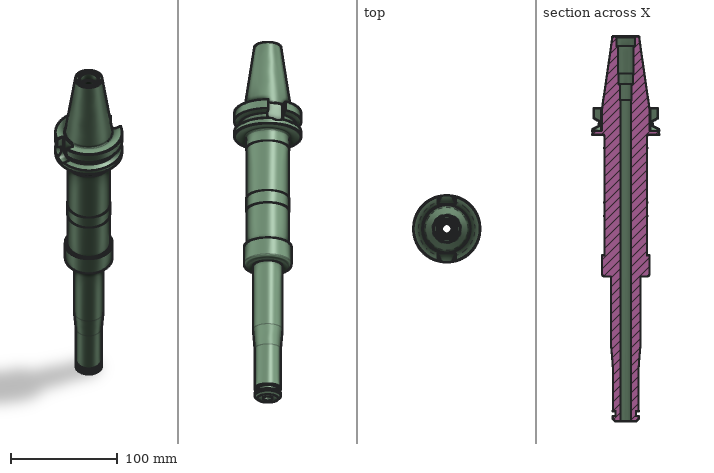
import cadquery as cq
import math

total_length = 360.9

gauge_diameter = 44.45
taper_rate = 7 / 24
taper_length = 65.4
taper_chamfer = 0.7
taper_root_fillet = 0.8

flange_diameter = 63.0
flange_top_z = -2.0
flange_bottom_z = -27.0
flange_chamfer = 0.5
groove_floor_diameter = 53.0
groove_centre_z = -16.5
groove_floor_width = 4.6
groove_flank_angle = 30.0
groove_depth = (flange_diameter - groove_floor_diameter) / 2
groove_flank_height = groove_depth * math.tan(math.radians(groove_flank_angle))
groove_floor_top_z = groove_centre_z + groove_floor_width / 2
groove_floor_bottom_z = groove_centre_z - groove_floor_width / 2
groove_top_z = groove_floor_top_z + groove_flank_height
groove_bottom_z = groove_floor_bottom_z - groove_flank_height

slot_width = 16.1
slot_floor_distance = 22.5
slot_bottom_z = -23.2
slot_floor_bevel = 0.8
slot_mouth_chamfer = 0.55

body_diameter = 40.0
band_diameter = 40.5
body_root_fillet = 1.5
upper_band_bottom_z = -39.5
lower_band_top_z = -90.5
lower_band_bottom_z = -103.2

collar_diameter = 45.0
collar_top_z = -139.8
collar_bottom_z = -160.0
collar_chamfer = 0.5
collar_fillet = 3.0

arbor_diameter = 28.0
cone_top_z = -225.0
cone_bottom_z = -245.0
pilot_diameter = 24.7
pilot_bottom_z = -286.05
pilot_chamfer = 0.45
neck_diameter = 19.5
disc_top_z = -290.4
disc_bottom_z = -293.3
disc_chamfer = 0.35
end_diameter = 19.5
end_z = taper_length - total_length

mouth_diameter = 17.0
mouth_chamfer = 1.25
mouth_depth = 9.3
bore_steps = [(13.84, 35.0), (13.0, 45.0), (10.0, 60.0)]
through_diameter = 9.0


def revolve_outline(outline):
    """Close an outline that starts and ends on the Z axis and turn it about Z."""
    return outline.close().revolve(360, (0, 0, 0), (0, 1, 0))


def stepped_solid(stations):
    """Solid of revolution from (diameter, z) stations listed along its outside."""
    points = [(diameter / 2, z) for diameter, z in stations]
    outline = [(0, stations[0][1])] + points + [(0, stations[-1][1])]
    return revolve_outline(cq.Workplane("XZ").polyline(outline))


def root_fillet(diameter, face_z, size, side):
    """Concave fillet ring between a cylinder and a face; side is +1 above the face, -1 below."""
    radius = diameter / 2
    inset = size * (1 - math.sqrt(0.5))
    outline = (
        cq.Workplane("XZ")
        .moveTo(0, face_z)
        .lineTo(radius + size, face_z)
        .threePointArc(
            (radius + inset, face_z + side * inset),
            (radius, face_z + side * size),
        )
        .lineTo(0, face_z + side * size)
    )
    return revolve_outline(outline)


def taper():
    top_diameter = gauge_diameter - taper_rate * taper_length
    shoulder_diameter = top_diameter + taper_rate * taper_chamfer
    shank = stepped_solid([
        (top_diameter - 2 * taper_chamfer, taper_length),
        (shoulder_diameter, taper_length - taper_chamfer),
        (gauge_diameter, 0),
        (gauge_diameter, flange_top_z),
    ])
    return shank.union(root_fillet(gauge_diameter, flange_top_z, taper_root_fillet, 1))


def flange():
    return stepped_solid([
        (flange_diameter - 2 * flange_chamfer, flange_top_z),
        (flange_diameter, flange_top_z - flange_chamfer),
        (flange_diameter, groove_top_z),
        (groove_floor_diameter, groove_floor_top_z),
        (groove_floor_diameter, groove_floor_bottom_z),
        (flange_diameter, groove_bottom_z),
        (flange_diameter, flange_bottom_z + flange_chamfer),
        (flange_diameter - 2 * flange_chamfer, flange_bottom_z),
    ])


def cut_drive_slot(blank, side):
    """Cut the round-bottomed slot on the +Y (side = 1) or -Y (side = -1) side."""
    radius = slot_width / 2
    arc_z = slot_bottom_z + radius
    cutter = (
        cq.Workplane("XZ", origin=(0, slot_floor_distance, 0))
        .moveTo(-radius, 0)
        .lineTo(radius, 0)
        .lineTo(radius, arc_z)
        .threePointArc((0, slot_bottom_z), (-radius, arc_z))
        .close()
        .extrude(slot_floor_distance - flange_diameter / 2)
        .faces("<Y")
        .edges("not >Z")
        .chamfer(slot_floor_bevel)
    )
    if side < 0:
        cutter = cutter.mirror("XZ")
    return blank.cut(cutter)


def chamfer_slot_mouth(blank, side, hand):
    """Chamfer the top and outer edges of one slot wall, above the groove."""
    wall_x = hand * slot_width / 2
    margin = 0.01
    mouth_edges = cq.selectors.BoxSelector(
        (wall_x - margin, side * (slot_floor_distance + slot_floor_bevel + margin), groove_top_z),
        (wall_x + margin, side * flange_diameter / 2, flange_top_z + margin),
    )
    return blank.edges(mouth_edges).chamfer(slot_mouth_chamfer)


def flange_with_slots():
    blank = flange()
    for side in (-1, 1):
        blank = cut_drive_slot(blank, side)
        for hand in (-1, 1):
            blank = chamfer_slot_mouth(blank, side, hand)
    return blank


def body():
    step = (band_diameter - body_diameter) / 2
    shaft = stepped_solid([
        (band_diameter, flange_bottom_z),
        (band_diameter, upper_band_bottom_z),
        (body_diameter, upper_band_bottom_z),
        (body_diameter, lower_band_top_z),
        (band_diameter, lower_band_top_z),
        (band_diameter, lower_band_bottom_z + step),
        (body_diameter, lower_band_bottom_z),
        (body_diameter, collar_top_z),
    ])
    return shaft.union(root_fillet(band_diameter, flange_bottom_z, body_root_fillet, -1))


def collar():
    blank = stepped_solid([(collar_diameter, collar_top_z), (collar_diameter, collar_bottom_z)])
    return blank.faces(">Z").chamfer(collar_chamfer).faces("<Z").edges().fillet(collar_fillet)


def arbor():
    return stepped_solid([
        (arbor_diameter, collar_bottom_z),
        (arbor_diameter, cone_top_z),
        (pilot_diameter, cone_bottom_z),
        (pilot_diameter, pilot_bottom_z + pilot_chamfer),
        (pilot_diameter - 2 * pilot_chamfer, pilot_bottom_z),
        (neck_diameter, pilot_bottom_z),
        (neck_diameter, disc_top_z),
        (pilot_diameter - 2 * disc_chamfer, disc_top_z),
        (pilot_diameter, disc_top_z - disc_chamfer),
        (pilot_diameter, disc_bottom_z + disc_chamfer),
        (pilot_diameter - 2 * disc_chamfer, disc_bottom_z),
        (end_diameter, end_z),
    ])


def bore():
    stations = [
        (mouth_diameter + 2 * mouth_chamfer, taper_length),
        (mouth_diameter, taper_length - mouth_chamfer),
        (mouth_diameter, taper_length - mouth_depth),
    ]
    for diameter, depth in bore_steps:
        stations += [(diameter, stations[-1][1]), (diameter, taper_length - depth)]
    stations += [(through_diameter, stations[-1][1]), (through_diameter, end_z)]
    return stepped_solid(stations)


holder = flange_with_slots()
for section in (taper(), body(), collar(), arbor()):
    holder = holder.union(section)
result = holder.cut(bore())